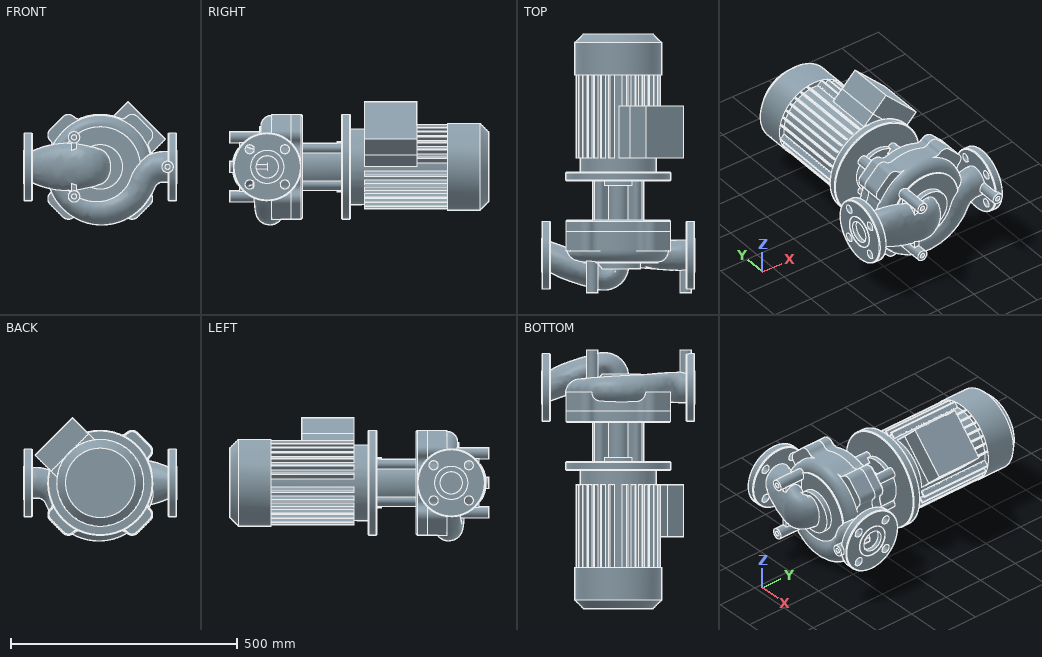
import cadquery as cq
import math


BOSS_END_Y = -83.0
HUB_Y = -30.0
PLATE_Y = -17.0
LOBE_FRONT_Y = 10.0
CASING_BACK_Y = 52.5
COVER_BACK_Y = 78.0
COLLAR_Y = 154.5
LANTERN_END_Y = 164.5
MOTOR_FLANGE_END_Y = 184.0
FINS_FRONT_Y = 215.0
TERMINAL_BOX_END_Y = 330.5
FAN_COVER_Y = 398.0
MOTOR_END_Y = 489.5

EDGE_CHAMFER = 2.0

DIAGONAL_ANGLE = 45

FAN_COVER_RADIUS = 96.0
FAN_COVER_CHAMFER = 19.5
CORE_RADIUS = 84.0
FIN_TIP_RADIUS = 95.0
FIN_THICKNESS = 3.0
FIN_PITCH = 17.0
FIN_ROOT = 62.5
FINS_EACH_SIDE = 3
MOTOR_FLANGE_RADIUS = 116.0
TERMINAL_BOX_WIDTH = 117.5
TERMINAL_BOX_SPLIT = 95.0
TERMINAL_BOX_TOP = 145.5

SHAFT_RADIUS = 22.0
LANTERN_RADIUS = 56.5
LANTERN_BORE_RADIUS = 43.5
COLLAR_RADIUS = 55.5
LUG_REACH = 68.0
LUG_WIDTH = 23.0
LUG_ROUND = 9.0

CASING_RADIUS = 114.0
CASING_ROUND = 24.0
PLATE_RADIUS = 89.0
HUB_RADIUS = 49.0
LOBE_REACH = 137.0
LOBE_WIDTH = 74.5
LOBE_ROUND = 17.0
LOBE_BLEND = 17.0
COVER_CHAMFER = 3.0

VOLUTE_RADIUS = 98.0
VOLUTE_START_ANGLE = 120
VOLUTE_THROAT_ANGLE = 270
VOLUTE_START_SIZE = 14.0
VOLUTE_THROAT_SIZE = 31.5
VOLUTE_OFFSET_Y = 6.0
OUTLET_BEND_RADIUS = 51.5
OUTLET_SIZE = 34.5

INLET_START_Y = -4.0
INLET_SIZE = 34.5
INLET_HALF_HEIGHT = 35.5
INLET_MIDDLE = (-91.5, -28.0)
INLET_MIDDLE_SIZE = 33.0
INLET_MIDDLE_HALF_HEIGHT = 51.5
ELBOW_PIVOT = (-31.5, -22.5)
ELBOW_RADIUS = 28.0
ELBOW_SIZE = 27.0
ELBOW_HEADING = 21
ELBOW_START_HALF_HEIGHT = 49.0
ELBOW_END_HALF_HEIGHT = 38.0

BOSS_RADIUS = 12.5
BOSS_ROOT_Y = 0.0
BOSS_HOLE_RADIUS = 6.0
BOSS_HOLE_DEPTH = 19.5
INLET_BOSS_X = -58.0
INLET_BOSS_Z = 65.5
OUTLET_BOSS_X = 149.0
RIB_WIDTH = 11.5
RIB_END_Y = -62.0
RIB_ROOT_Z = 34.5

FLANGE_FACE_X = 170.0
RAISED_FACE_HEIGHT = 1.0
FLANGE_BACK_X = 150.0
FLANGE_RADIUS = 75.0
RAISED_FACE_RADIUS = 36.5
FLANGE_BORE_RADIUS = 24.5
FLANGE_BORE_DEPTH = 10.0
BOLT_CIRCLE_RADIUS = 55.0
BOLT_HOLE_RADIUS = 10.0


def axial_cylinder(radius, start_y, end_y, x=0.0, z=0.0):
    """Cylinder along Y between two positions."""
    solid = cq.Solid.makeCylinder(radius, end_y - start_y, cq.Vector(x, start_y, z), cq.Vector(0, 1, 0))
    return cq.Workplane(obj=solid)


def block(x_range, y_range, z_range):
    """Box given by its limits along X, Y and Z."""
    sizes = [high - low for low, high in (x_range, y_range, z_range)]
    corner = (x_range[0], y_range[0], z_range[0])
    return cq.Workplane("XY").box(*sizes, centered=False).translate(corner)


def turned(shape, angle):
    """Shape turned about the motor axis; positive angles carry +Z towards +X."""
    return shape.rotate((0, 0, 0), (0, 1, 0), angle)


def diagonal_lugs(width, reach, corner_round, start_y, end_y):
    """Four round-cornered lugs on the diagonals, reaching out from the motor axis."""
    lug = block((-width / 2, width / 2), (start_y, end_y), (0, reach))
    lug = lug.edges("|Y and >Z").fillet(corner_round)
    lugs = cq.Workplane("XY")
    for quarter in range(4):
        lugs = lugs.add(turned(lug, DIAGONAL_ANGLE + 90 * quarter))
    return lugs.combine()


def make_fan_cover():
    cover = axial_cylinder(FAN_COVER_RADIUS, FAN_COVER_Y, MOTOR_END_Y)
    return cover.faces(">Y").chamfer(FAN_COVER_CHAMFER)


def terminal_box_block(bottom, top):
    """Stretch of the terminal box between two distances from the motor axis."""
    half = TERMINAL_BOX_WIDTH / 2
    straight = block((-half, half), (FINS_FRONT_Y, TERMINAL_BOX_END_Y), (bottom, top))
    return turned(straight, DIAGONAL_ANGLE)


def make_motor_body():
    """Round core with four groups of parallel fins, interrupted at the terminal box."""
    fins = cq.Workplane("XY")
    for quarter in range(4):
        for step in range(-FINS_EACH_SIDE, FINS_EACH_SIDE + 1):
            left = step * FIN_PITCH - FIN_THICKNESS / 2
            fin = block((left, left + FIN_THICKNESS), (FINS_FRONT_Y, FAN_COVER_Y), (FIN_ROOT, FIN_TIP_RADIUS))
            fins = fins.add(turned(fin, DIAGONAL_ANGLE + 90 * quarter))
    fins = fins.combine().intersect(axial_cylinder(FIN_TIP_RADIUS, FINS_FRONT_Y, FAN_COVER_Y))
    fins = fins.cut(terminal_box_block(0, TERMINAL_BOX_TOP))
    return axial_cylinder(CORE_RADIUS, MOTOR_FLANGE_END_Y, FAN_COVER_Y).union(fins)


def make_terminal_box_base():
    """Base hollowed to sit on the round motor core."""
    core = axial_cylinder(CORE_RADIUS, FINS_FRONT_Y, TERMINAL_BOX_END_Y)
    seat_depth = math.sqrt(CORE_RADIUS**2 - (TERMINAL_BOX_WIDTH / 2) ** 2)
    return terminal_box_block(seat_depth, TERMINAL_BOX_SPLIT).cut(core)


def make_terminal_box_lid():
    return terminal_box_block(TERMINAL_BOX_SPLIT, TERMINAL_BOX_TOP)


def make_motor_flange():
    disc = axial_cylinder(MOTOR_FLANGE_RADIUS, LANTERN_END_Y, MOTOR_FLANGE_END_Y)
    return disc.faces("<Y or >Y").chamfer(EDGE_CHAMFER)


def make_shaft():
    return axial_cylinder(SHAFT_RADIUS, CASING_BACK_Y, LANTERN_END_Y)


def lobed_disc(start_y, end_y):
    """Round disc with four diagonal lobes blended into it."""
    disc = axial_cylinder(CASING_RADIUS, start_y, end_y)
    disc = disc.union(diagonal_lugs(LOBE_WIDTH, LOBE_REACH, LOBE_ROUND, start_y, end_y))
    lobe_edge_radius = math.hypot(LOBE_REACH - LOBE_ROUND, LOBE_WIDTH / 2)
    root_limit = (CASING_RADIUS + lobe_edge_radius) / 2
    roots = disc.edges("|Y").filter(lambda edge: math.hypot(edge.Center().x, edge.Center().z) < root_limit)
    return disc.newObject(roots.vals()).fillet(LOBE_BLEND)


def make_lantern():
    """Casing cover carrying two curved walls with lugs, closed by a collar at the motor."""
    walls = axial_cylinder(LANTERN_RADIUS, COVER_BACK_Y, LANTERN_END_Y)
    wedge_reach = LUG_REACH + LUG_WIDTH
    for side in (-1, 1):
        opening = (
            cq.Workplane("XZ", origin=(0, LANTERN_END_Y, 0))
            .polyline([(0, 0), (wedge_reach, side * wedge_reach), (-wedge_reach, side * wedge_reach)])
            .close()
            .extrude(LANTERN_END_Y - COVER_BACK_Y)
        )
        walls = walls.cut(opening)
    walls = walls.union(diagonal_lugs(LUG_WIDTH, LUG_REACH, LUG_ROUND, COVER_BACK_Y, LANTERN_END_Y))
    walls = walls.cut(axial_cylinder(LANTERN_BORE_RADIUS, COVER_BACK_Y, LANTERN_END_Y))
    cover = lobed_disc(CASING_BACK_Y, COVER_BACK_Y).faces(">Y").chamfer(COVER_CHAMFER)
    collar = axial_cylinder(COLLAR_RADIUS, COLLAR_Y, LANTERN_END_Y)
    return cover.union(walls).union(collar).cut(make_shaft())


def casing_shell():
    """Lobed rear part, rounded front shoulder, front plate and hub."""
    shoulder = axial_cylinder(CASING_RADIUS, LOBE_FRONT_Y - CASING_ROUND, CASING_BACK_Y)
    shoulder = shoulder.faces("<Y").edges().fillet(CASING_ROUND)
    plate = axial_cylinder(PLATE_RADIUS, PLATE_Y, LOBE_FRONT_Y)
    hub = axial_cylinder(HUB_RADIUS, HUB_Y, PLATE_Y)
    return lobed_disc(LOBE_FRONT_Y, CASING_BACK_Y).union(shoulder).union(plate).union(hub)


def pipe_section(center, direction, long_radius, short_radius, long_direction):
    """Elliptical outline of a pipe, square to its running direction."""
    return cq.Wire.makeEllipse(
        long_radius, short_radius, cq.Vector(*center), cq.Vector(*direction), cq.Vector(*long_direction)
    )


def volute():
    """Growing round passage around the casing that bends back into the outlet flange axis."""
    scroll_steps = 8
    bend_x = math.sqrt(VOLUTE_RADIUS**2 + 2 * VOLUTE_RADIUS * OUTLET_BEND_RADIUS)
    exit_angle = 360 - math.degrees(math.atan2(OUTLET_BEND_RADIUS, bend_x))
    exit_heading = exit_angle - 270
    scroll_sections = []
    bend_sections = []

    def round_section(x, y, z, heading, size):
        direction = (math.cos(heading), 0, math.sin(heading))
        return pipe_section((x, y, z), direction, size, size, (0, 1, 0))

    for step in range(scroll_steps + 1):
        part = step / scroll_steps
        turn = VOLUTE_START_ANGLE + part * (exit_angle - VOLUTE_START_ANGLE)
        growth = min(1, (turn - VOLUTE_START_ANGLE) / (VOLUTE_THROAT_ANGLE - VOLUTE_START_ANGLE))
        size = VOLUTE_START_SIZE + growth * (VOLUTE_THROAT_SIZE - VOLUTE_START_SIZE)
        angle = math.radians(turn)
        x = VOLUTE_RADIUS * math.cos(angle)
        z = VOLUTE_RADIUS * math.sin(angle)
        past_throat = max(0, (turn - VOLUTE_THROAT_ANGLE) / (exit_angle - VOLUTE_THROAT_ANGLE))
        y = VOLUTE_OFFSET_Y * (1 - past_throat)
        scroll_sections.append(round_section(x, y, z, angle + math.pi / 2, size))

    bend_steps = 4
    for step in range(bend_steps + 1):
        part = step / bend_steps
        heading = math.radians(exit_heading * (1 - part))
        x = bend_x - OUTLET_BEND_RADIUS * math.sin(heading)
        z = OUTLET_BEND_RADIUS * (math.cos(heading) - 1)
        size = VOLUTE_THROAT_SIZE + part * (OUTLET_SIZE - VOLUTE_THROAT_SIZE)
        bend_sections.append(round_section(x, 0, z, heading, size))

    scroll = cq.Workplane(obj=cq.Solid.makeLoft(scroll_sections))
    bend = cq.Workplane(obj=cq.Solid.makeLoft(bend_sections))
    outlet = cq.Workplane("YZ", origin=(bend_x, 0, 0)).circle(OUTLET_SIZE).extrude(FLANGE_BACK_X - bend_x)
    return scroll.union(bend).union(outlet)


def inlet_pipe():
    """Pipe slanting away from the inlet flange, widening along Z, then turning into the hub."""
    pivot_x, pivot_y = ELBOW_PIVOT
    elbow_steps = 4
    slope = math.radians(ELBOW_HEADING)
    slant = (math.cos(slope), -math.sin(slope), 0)
    start = (-FLANGE_BACK_X, INLET_START_Y, 0)
    sections = [
        pipe_section(start, (1, 0, 0), INLET_HALF_HEIGHT, INLET_SIZE, (0, 0, 1)),
        pipe_section((*INLET_MIDDLE, 0), slant, INLET_MIDDLE_HALF_HEIGHT, INLET_MIDDLE_SIZE, (0, 0, 1)),
    ]
    for step in range(elbow_steps + 1):
        part = step / elbow_steps
        heading = math.radians(-ELBOW_HEADING + part * (90 + ELBOW_HEADING))
        center = (
            pivot_x + ELBOW_RADIUS * math.sin(heading),
            pivot_y - ELBOW_RADIUS * math.cos(heading),
            0,
        )
        half_height = ELBOW_START_HALF_HEIGHT + part * (ELBOW_END_HALF_HEIGHT - ELBOW_START_HALF_HEIGHT)
        direction = (math.cos(heading), math.sin(heading), 0)
        sections.append(pipe_section(center, direction, half_height, ELBOW_SIZE, (0, 0, 1)))
    slanted = cq.Workplane(obj=cq.Solid.makeLoft(sections[:3]))
    elbow = cq.Workplane(obj=cq.Solid.makeLoft(sections[2:]))
    return slanted.union(elbow)


def boss(x, z):
    """Undrilled boss running into the casing."""
    return axial_cylinder(BOSS_RADIUS, BOSS_END_Y, BOSS_ROOT_Y, x, z)


def make_casing():
    """Pump casing with its inlet and outlet pipes and three threaded bosses."""
    casing = casing_shell().union(volute()).union(inlet_pipe())
    half_rib = RIB_WIDTH / 2
    rib_x = (INLET_BOSS_X - half_rib, INLET_BOSS_X + half_rib)
    for side in (-1, 1):
        rib_z = sorted((side * RIB_ROOT_Z, side * INLET_BOSS_Z))
        casing = casing.union(block(rib_x, (RIB_END_Y, PLATE_Y), rib_z))
    for x, z in ((OUTLET_BOSS_X, 0), (INLET_BOSS_X, -INLET_BOSS_Z), (INLET_BOSS_X, INLET_BOSS_Z)):
        casing = casing.union(boss(x, z))
        casing = casing.cut(axial_cylinder(BOSS_HOLE_RADIUS, BOSS_END_Y, BOSS_END_Y + BOSS_HOLE_DEPTH, x, z))
    return casing


def make_pipe_flange(side):
    """Bolted flange with a raised, recessed face; side is -1 for the inlet and 1 for the outlet."""
    raised_back = FLANGE_FACE_X - RAISED_FACE_HEIGHT
    bolt_spacing = BOLT_CIRCLE_RADIUS * math.sqrt(2)
    flange = (
        cq.Workplane("YZ", origin=(FLANGE_BACK_X, 0, 0))
        .circle(FLANGE_RADIUS)
        .extrude(raised_back - FLANGE_BACK_X)
        .edges()
        .chamfer(EDGE_CHAMFER)
        .faces(">X")
        .workplane()
        .circle(RAISED_FACE_RADIUS)
        .extrude(RAISED_FACE_HEIGHT)
    )
    flange = flange.faces(">X").workplane().circle(FLANGE_BORE_RADIUS).cutBlind(-FLANGE_BORE_DEPTH)
    flange = flange.faces(">X").workplane().rect(bolt_spacing, bolt_spacing, forConstruction=True)
    flange = flange.vertices().circle(BOLT_HOLE_RADIUS).cutThruAll()
    if side < 0:
        flange = flange.mirror("YZ")
    return flange


fan_cover = make_fan_cover()
motor_body = make_motor_body()
terminal_box_base = make_terminal_box_base()
terminal_box_lid = make_terminal_box_lid()
motor_flange = make_motor_flange()
lantern = make_lantern()
shaft = make_shaft()
casing = make_casing()
inlet_flange = make_pipe_flange(-1)
outlet_flange = make_pipe_flange(1).cut(boss(OUTLET_BOSS_X, 0))

bodies = [
    fan_cover,
    motor_body,
    terminal_box_base,
    terminal_box_lid,
    motor_flange,
    lantern,
    shaft,
    casing,
    inlet_flange,
    outlet_flange,
]
result = cq.Compound.makeCompound([body.solids().val() for body in bodies])